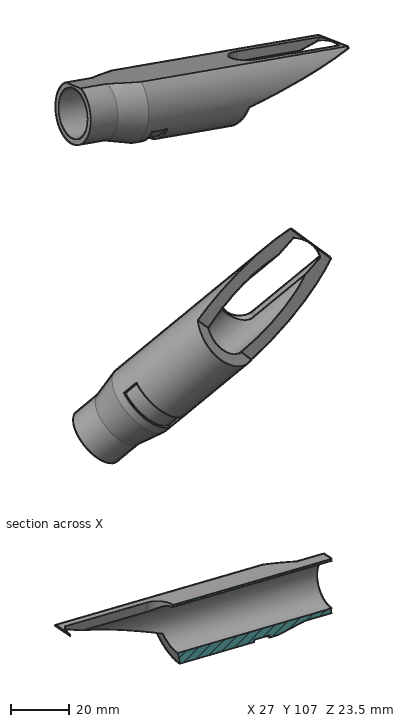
import cadquery as cq
import math

length = 107
body_radius = 13.5
neck_radius = 11.0
bore_radius = 9.0
table_height = 10.0
neck_end = 11.0
taper_end = 22.0

tip_thickness = 0.5
ramp_length = 42.9
ramp_bottom = -4.6
shoulder_setback = 2.0

window_width = 12.6
window_length = 41.9
tip_rail_sagitta = 1.9

groove_start = 25.4
groove_end = 31.6
groove_depth = 0.9
groove_upper_edge = -7.9

cut_margin = 5.4


def outer_body():
    """Revolved neck, taper and body."""
    return (
        cq.Workplane("XY")
        .lineTo(neck_radius, 0)
        .lineTo(neck_radius, neck_end)
        .lineTo(body_radius, taper_end)
        .lineTo(body_radius, length)
        .lineTo(0, length)
        .close()
        .revolve(360, (0, 0), (0, 1))
    )


def cylinder_along_y(radius, start, end):
    return cq.Workplane("XZ", origin=(0, start, 0)).circle(radius).extrude(start - end)


def table_cutter():
    """Everything above the flat table."""
    width = 2 * (body_radius + cut_margin)
    return (
        cq.Workplane("XY", origin=(0, length / 2, table_height))
        .rect(width, length + 2 * cut_margin)
        .extrude(body_radius)
    )


def beak_cutter():
    """Wedge below the ramp, closed at the back by the shoulder."""
    ramp_end = length - ramp_length
    tip_bottom = table_height - tip_thickness
    ramp_slope = (tip_bottom - ramp_bottom) / ramp_length
    shoulder_slope = shoulder_setback / (ramp_bottom + body_radius)
    floor = -body_radius - cut_margin
    floor_y = ramp_end - shoulder_slope * (ramp_bottom - floor)
    return (
        cq.Workplane("YZ")
        .moveTo(length + cut_margin, tip_bottom + ramp_slope * cut_margin)
        .lineTo(ramp_end, ramp_bottom)
        .lineTo(floor_y, floor)
        .lineTo(length + cut_margin, floor)
        .close()
        .extrude(body_radius + cut_margin, both=True)
    )


def window_cutter():
    """Slot from the table down to the bore axis: round at the back, shallow arc at the tip."""
    half_width = window_width / 2
    back = length - window_length
    tip_corner = length - tip_rail_sagitta
    return (
        cq.Workplane("XY")
        .moveTo(-half_width, back + half_width)
        .threePointArc((0, back), (half_width, back + half_width))
        .lineTo(half_width, tip_corner)
        .threePointArc((0, length), (-half_width, tip_corner))
        .close()
        .extrude(table_height + cut_margin)
    )


def groove_cutter():
    """Lower sector of a ring, with radial end faces."""
    ring = cylinder_along_y(body_radius + cut_margin, groove_start, groove_end)
    ring = ring.cut(cylinder_along_y(body_radius - groove_depth, groove_start, groove_end))
    edge_angle = math.asin(-groove_upper_edge / body_radius)
    sector_depth = 2 * (body_radius + cut_margin)
    sector_half_width = sector_depth / math.tan(edge_angle)
    sector = (
        cq.Workplane("XZ", origin=(0, groove_start, 0))
        .lineTo(sector_half_width, -sector_depth)
        .lineTo(-sector_half_width, -sector_depth)
        .close()
        .extrude(groove_start - groove_end)
    )
    return ring.intersect(sector)


result = (
    outer_body()
    .cut(table_cutter())
    .cut(beak_cutter())
    .cut(cylinder_along_y(bore_radius, 0, length))
    .cut(window_cutter())
    .cut(groove_cutter())
)